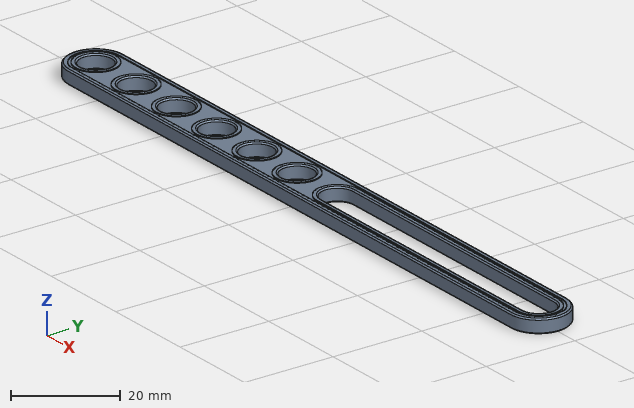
import cadquery as cq

LENGTH = 150.0
STATIONS = 12
PITCH = LENGTH / STATIONS
WIDTH = PITCH
THICKNESS = PITCH / 4
EDGE_CHAMFER = 0.3

HOLE_COUNT = 6
HOLE_DIAMETER = 7.0
COLLAR_DIAMETER = 9.2
SLOT_TRAVEL = (STATIONS - HOLE_COUNT - 1) * PITCH

RIM_WIDTH = 1.1
RECESS_DEPTH = 0.2


def station_x(index):
    """X position of a station, counted from the -X end."""
    return (index + 0.5) * PITCH - LENGTH / 2


def rounded_bar(center_x, travel, diameter, height):
    """Cylinder standing on Z = 0, stretched along X by the travel."""
    sketch = cq.Workplane("XY").center(center_x, 0)
    if travel > 0:
        sketch = sketch.slot2D(travel + diameter, diameter)
    else:
        sketch = sketch.circle(diameter / 2)
    return sketch.extrude(height)


def pierced_bar(openings):
    """Round-ended bar with its openings, chamfered along every edge of both faces."""
    bar = rounded_bar(0, LENGTH - WIDTH, WIDTH, THICKNESS)
    for center_x, travel in openings:
        bar = bar.cut(rounded_bar(center_x, travel, HOLE_DIAMETER, THICKNESS))
    return bar.faces("|Z").edges().chamfer(EDGE_CHAMFER)


def recess_cutter(openings):
    """Shallow pocket inside the rim that leaves the collars standing."""
    pocket = rounded_bar(0, LENGTH - WIDTH, WIDTH - 2 * RIM_WIDTH, RECESS_DEPTH)
    for center_x, travel in openings:
        pocket = pocket.cut(rounded_bar(center_x, travel, COLLAR_DIAMETER, RECESS_DEPTH))
    return pocket.translate((0, 0, THICKNESS - RECESS_DEPTH))


hole_openings = [(station_x(hole), 0) for hole in range(HOLE_COUNT)]
slot_center_x = (station_x(HOLE_COUNT) + station_x(STATIONS - 1)) / 2
slot_opening = (slot_center_x, SLOT_TRAVEL)
all_openings = hole_openings + [slot_opening]

result = pierced_bar(all_openings).cut(recess_cutter(all_openings))